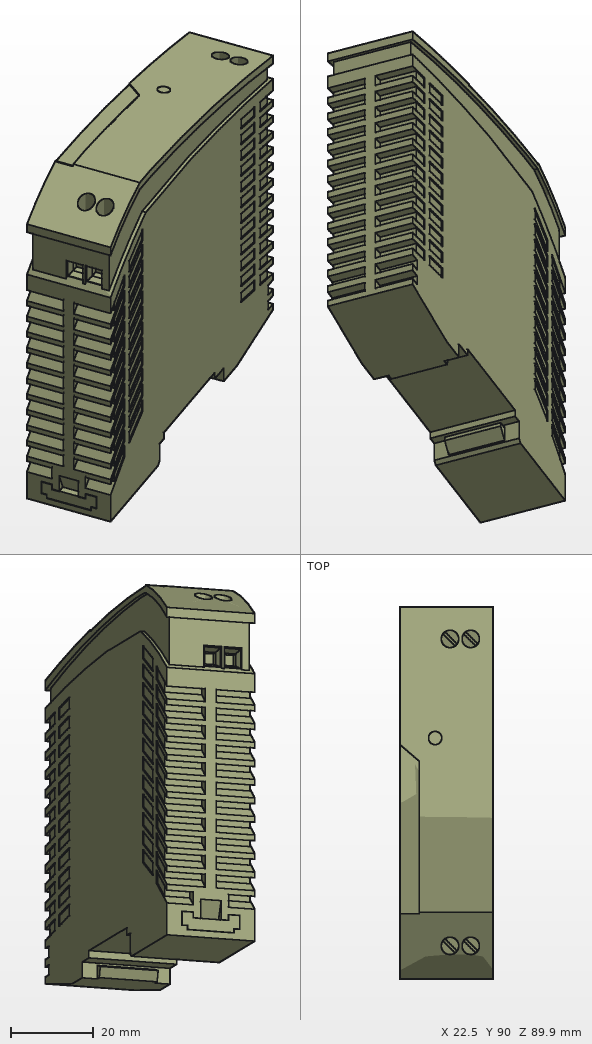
import cadquery as cq


width = 22.5
depth = 90.0
height = 89.87
front_y = -depth / 2
rear_y = depth / 2
overcut = 1.0

cap_edge_z = 80.95
cap_flat_rear_y = -22.7
cap_flat_front_y = -28.8
cap_rear_mid = (11.15, 86.87)
cap_front_mid = (-36.7, 86.3)
cap_thickness = 2.0
cap_lip_height = 2.4

neck_side_inset = 1.0
neck_end_inset = 1.2
neck_overlap = 0.3

shell_rear_z = 74.1
shell_front_z = 66.1
shell_flat_z = 79.0
shell_flat_rear_y = -0.2
shell_flat_front_y = -25.5
shell_rear_mid = (22.4, 77.2)
shell_front_mid = (-35.5, 73.2)

rear_bottom_z = 6.0
rear_foot_z = 2.0
rear_foot_y = 25.0
rail_rear_y = 17.65
rail_front_y = -17.75
rail_step_z = 5.9
rail_top_z = 7.7
rail_top_rear_y = 12.6
rail_top_front_y = -15.4
front_foot_chamfer = 0.9

rear_hook_tip = (15.3, 4.6)
rear_hook_foot_y = 16.1
hook_root_top_z = 5.35
front_hook_tip_z = 4.1
front_hook_top_z = 5.1
front_hook_root_z = 1.4
clip_width = 14.8
clip_shoulder_width = 9.0
clip_toe_width = 11.9
clip_top_z = 6.1
clip_shoulder_z = 4.7
clip_base_z = 2.7
clip_toe_z = 1.7
clip_recess = 0.2
pry_width = 5.2
pry_top_z = 9.4
pry_depth = 2.1

vent_rows = 12
front_pitch = 4.585
rear_pitch = 4.65
front_vent_height = 3.15
rear_vent_height = 2.8
side_vent_depth = 0.3
end_vent_depth = 2.7
end_rib_width = 2.8
wide_rib_width = 9.0
rear_slope = 0.15
front_outer_slope = 0.83
front_inner_slope = 0.63
rear_outer_y = 37.8
front_outer_y = -37.25
rear_outer_z = 71.7
front_outer_z = 67.9
rear_face_top_z = rear_outer_z - rear_slope * (rear_y - rear_outer_y)
front_face_top_z = front_outer_z - front_outer_slope * (front_outer_y - front_y)
rear_inner_span = (27.3, 34.9)
front_inner_span = (-27.15, -34.6)
rear_inner_z = 73.27
front_inner_z = 75.07
low_vent_rows = 2
low_vent_floor_z = 7.7

screw_x = (12.1, 17.1)
screw_y = (-36.95, 37.25)
screw_radius = 2.1
screw_head_z = 76.0
screw_slot_width = 0.7
screw_slot_angle = -45
screw_slot_depth = 0.5
socket_x = (12.2, 17.35)
socket_z = 69.9
socket_top_z = 72.5
socket_bottom_z = 66.5
socket_mouth_depth = 0.7
socket_mouth_width = 4.5
socket_funnel = (4.3, 4.8)
socket_throat = (2.8, 3.0)
socket_taper_depth = 1.5
socket_depth = 4.0

led_x = 8.5
led_y = 13.3
led_radius = 1.6
led_recess = 0.1
label_width = 4.65
label_rear_y = 11.7
label_corner_y = 7.7
label_front_y = -29.2
label_floor_rear_z = 86.5
label_floor_mid = (-8.75, 88.65)
label_floor_front_z = 89.45


def centered_box(size_x, size_y, size_z, x, y, z):
    """Box centred on the point (x, y, z)."""
    return cq.Workplane("XY").box(size_x, size_y, size_z).translate((x, y, z))


def extrude_side(profile, x_start, x_end):
    """Extrude a closed YZ profile between two X positions."""
    return profile.extrude(x_end - x_start).translate((x_start, 0, 0))


def polygon_side(points, x_start, x_end):
    """Extrude a YZ polygon between two X positions."""
    return extrude_side(cq.Workplane("YZ").polyline(points).close(), x_start, x_end)


def make_cap():
    def drop(point):
        return (point[0], point[1] - cap_thickness)

    lip_z = cap_edge_z - cap_lip_height
    crown_bottom_z = height - cap_thickness
    profile = (
        cq.Workplane("YZ")
        .moveTo(rear_y, cap_edge_z)
        .threePointArc(cap_rear_mid, (cap_flat_rear_y, height))
        .lineTo(cap_flat_front_y, height)
        .threePointArc(cap_front_mid, (front_y, cap_edge_z))
        .lineTo(front_y, lip_z)
        .threePointArc(drop(cap_front_mid), (cap_flat_front_y, crown_bottom_z))
        .lineTo(cap_flat_rear_y, crown_bottom_z)
        .threePointArc(drop(cap_rear_mid), (rear_y, lip_z))
        .close()
    )
    return extrude_side(profile, 0, width)


def make_neck():
    """Block from inside the shell up into the cap."""
    base_z = shell_front_z - overcut
    neck_front_y = front_y + neck_end_inset
    neck_rear_y = rear_y - neck_end_inset
    top_z = cap_edge_z - neck_overlap
    crown_z = height - neck_overlap
    points = [
        (neck_front_y, base_z),
        (neck_front_y, top_z),
        (cap_flat_front_y, crown_z),
        (cap_flat_rear_y, crown_z),
        (neck_rear_y, top_z),
        (neck_rear_y, base_z),
    ]
    return polygon_side(points, neck_side_inset, width - neck_side_inset)


def make_shell():
    profile = (
        cq.Workplane("YZ")
        .moveTo(rear_y, rear_bottom_z)
        .lineTo(rear_y, shell_rear_z)
        .threePointArc(shell_rear_mid, (shell_flat_rear_y, shell_flat_z))
        .lineTo(shell_flat_front_y, shell_flat_z)
        .threePointArc(shell_front_mid, (front_y, shell_front_z))
        .lineTo(front_y, 0)
        .lineTo(rail_front_y - front_foot_chamfer, 0)
        .lineTo(rail_front_y, front_foot_chamfer)
        .lineTo(rail_front_y, rail_step_z)
        .lineTo(rail_top_front_y, rail_step_z)
        .lineTo(rail_top_front_y, rail_top_z)
        .lineTo(rail_top_rear_y, rail_top_z)
        .lineTo(rail_top_rear_y, rail_step_z)
        .lineTo(rail_rear_y, rail_step_z)
        .lineTo(rail_rear_y, rear_foot_z)
        .lineTo(rear_foot_y, rear_foot_z)
        .close()
    )
    return extrude_side(profile, 0, width)


def make_hooks():
    """Fixed hook on the rear foot and the clip's nose on the front foot."""
    x_start = (width - clip_width) / 2
    x_end = (width + clip_width) / 2
    rear_hook = [
        (rail_rear_y + overcut, rear_foot_z),
        (rail_rear_y + overcut, hook_root_top_z),
        (rail_rear_y, hook_root_top_z),
        rear_hook_tip,
        (rear_hook_foot_y, rear_foot_z),
    ]
    front_hook = [
        (rail_front_y - overcut, front_hook_root_z),
        (rail_front_y, front_hook_root_z),
        (rail_top_front_y, front_hook_tip_z),
        (rail_top_front_y, front_hook_top_z),
        (rail_front_y, hook_root_top_z),
        (rail_front_y - overcut, hook_root_top_z),
    ]
    return polygon_side(rear_hook, x_start, x_end).union(polygon_side(front_hook, x_start, x_end))


def slanted_band(y_inner, y_outer, top_z, band_height, slope, x_start, x_end):
    """Sloped bar whose top is top_z at y_inner and falls toward y_outer."""
    outer_top_z = top_z - slope * abs(y_outer - y_inner)
    points = [
        (y_inner, top_z),
        (y_outer, outer_top_z),
        (y_outer, outer_top_z - band_height),
        (y_inner, top_z - band_height),
    ]
    return polygon_side(points, x_start, x_end)


def side_vents(y_inner, y_outer, top_z, band_height, slope):
    """Cutter for one shallow vent on each side face."""
    across = slanted_band(y_inner, y_outer, top_z, band_height, slope, -overcut, width + overcut)
    core = centered_box(
        width - 2 * side_vent_depth, depth * 2, height * 2, width / 2, 0, height / 2
    )
    return across.cut(core)


def end_vents(end_y, top_z, band_height, slope, rib_width):
    """Left and right notches in an end face; top_z is the vent top at that face."""
    direction = 1 if end_y > 0 else -1
    y_inner = end_y - direction * end_vent_depth
    y_outer = end_y + direction * overcut
    inner_top_z = top_z + slope * end_vent_depth
    left_end = (width - rib_width) / 2
    right_start = (width + rib_width) / 2
    left = slanted_band(y_inner, y_outer, inner_top_z, band_height, slope, -overcut, left_end)
    right = slanted_band(
        y_inner, y_outer, inner_top_z, band_height, slope, right_start, width + overcut
    )
    return left.union(right)


def regular_vents():
    """Cutters for the matching vent rows on the sides, front and rear."""
    cutters = []
    for row in range(vent_rows):
        front_drop = row * front_pitch
        rear_drop = row * rear_pitch
        rib_width = wide_rib_width if row == vent_rows - 1 else end_rib_width
        cutters += [
            side_vents(front_outer_y, front_y - overcut, front_outer_z - front_drop,
                       front_vent_height, front_outer_slope),
            side_vents(*front_inner_span, front_inner_z - front_drop,
                       front_vent_height, front_inner_slope),
            end_vents(front_y, front_face_top_z - front_drop,
                      front_vent_height, front_outer_slope, rib_width),
            side_vents(rear_outer_y, rear_y + overcut, rear_outer_z - rear_drop,
                       rear_vent_height, rear_slope),
            side_vents(*rear_inner_span, rear_inner_z - rear_drop,
                       rear_vent_height, rear_slope),
            end_vents(rear_y, rear_face_top_z - rear_drop,
                      rear_vent_height, rear_slope, end_rib_width),
        ]
    return cutters


def low_rear_vents():
    """Level notches under the regular rear rows; the lowest one has a raised floor."""
    cutters = []
    for row in range(vent_rows, vent_rows + low_vent_rows):
        top_z = rear_face_top_z - row * rear_pitch
        vent_height = min(rear_vent_height, top_z - low_vent_floor_z)
        cutters.append(end_vents(rear_y, top_z, vent_height, 0, end_rib_width))
    return cutters


def cut_vents(body):
    """Remove all vents in a single boolean operation."""
    solids = []
    for cutter in regular_vents() + low_rear_vents():
        solids += cutter.solids().vals()
    return cq.Workplane("XY").newObject([body.val().cut(*solids)])


def cut_clip_face(body):
    """Slightly sunk clip face and the wedge-shaped pocket above it."""
    half_width = clip_width / 2
    half_shoulder = clip_shoulder_width / 2
    half_toe = clip_toe_width / 2
    half_outline = [
        (half_toe, clip_toe_z),
        (half_toe, clip_base_z),
        (half_width, clip_base_z),
        (half_width, clip_top_z),
        (half_shoulder, clip_top_z),
        (half_shoulder, clip_shoulder_z),
    ]
    mirrored = [(-x, z) for x, z in reversed(half_outline)]
    face = (
        cq.Workplane("XZ", origin=(width / 2, front_y + clip_recess, 0))
        .polyline(half_outline + mirrored)
        .close()
        .extrude(clip_recess + overcut)
    )
    pocket = [
        (front_y - overcut, pry_top_z),
        (front_y, pry_top_z),
        (front_y + pry_depth, clip_shoulder_z),
        (front_y - overcut, clip_shoulder_z),
    ]
    pocket_start = (width - pry_width) / 2
    return body.cut(face).cut(polygon_side(pocket, pocket_start, pocket_start + pry_width))


def cut_terminal_screws(body):
    """Access holes in the cap with a slotted screw head at the bottom."""
    hole_length = height - screw_head_z + overcut
    for x in screw_x:
        for y in screw_y:
            hole = (
                cq.Workplane("XY", origin=(x, y, screw_head_z))
                .circle(screw_radius)
                .extrude(hole_length)
            )
            slot = (
                cq.Workplane("XY", origin=(x, y, screw_head_z - screw_slot_depth))
                .transformed(rotate=(0, 0, screw_slot_angle))
                .rect(2 * screw_radius, screw_slot_width)
                .extrude(screw_slot_depth)
            )
            slot = slot.intersect(hole.translate((0, 0, -screw_slot_depth)))
            body = body.cut(hole).cut(slot)
    return body


def cut_socket_mouths(neck):
    """Straight entries in the front of the neck, cut before the shell is joined."""
    mouth_front_y = front_y + neck_end_inset
    mouth_rear_y = mouth_front_y + socket_mouth_depth
    profile = [
        (mouth_front_y, socket_bottom_z),
        (mouth_front_y, socket_top_z),
        (mouth_rear_y, socket_top_z),
        (mouth_rear_y, socket_bottom_z),
    ]
    half_mouth = socket_mouth_width / 2
    for x in socket_x:
        neck = neck.cut(polygon_side(profile, x - half_mouth, x + half_mouth))
    return neck


def cut_socket_throats(body):
    """Tapered funnels behind the mouths, each leading to a straight throat."""
    throat_y = front_y + neck_end_inset + socket_mouth_depth + socket_taper_depth
    throat_length = socket_depth - socket_mouth_depth - socket_taper_depth
    for x in socket_x:
        throat_plane = cq.Workplane("XZ", origin=(x, throat_y, socket_z))
        funnel = (
            throat_plane.rect(*socket_throat)
            .workplane(offset=socket_taper_depth)
            .rect(*socket_funnel)
            .loft()
        )
        throat = throat_plane.rect(*socket_throat).extrude(-throat_length)
        body = body.cut(funnel).cut(throat)
    return body


def cut_label_recess(body):
    """Shallow label strip along the left edge of the cap."""
    floor = (
        cq.Workplane("YZ")
        .moveTo(label_rear_y, label_floor_rear_z)
        .threePointArc(label_floor_mid, (label_front_y, label_floor_front_z))
        .lineTo(label_front_y, height + overcut)
        .lineTo(label_rear_y, height + overcut)
        .close()
    )
    outline = [
        (0, label_rear_y),
        (label_width, label_corner_y),
        (label_width, label_front_y),
        (0, label_front_y),
    ]
    plan = cq.Workplane("XY").polyline(outline).close().extrude(height + overcut)
    return body.cut(extrude_side(floor, 0, label_width).intersect(plan))


def cut_led_window(body):
    """Round window whose floor follows the cap curve."""
    column = cq.Workplane("XY", origin=(led_x, led_y, 0)).circle(led_radius).extrude(height + overcut)
    below_surface = make_cap().translate((0, 0, -led_recess))
    window = make_cap().intersect(column).cut(below_surface)
    return body.cut(window)


neck = cut_socket_mouths(make_neck())
body = make_shell().union(neck).union(make_cap()).union(make_hooks())
body = cut_vents(body)
body = cut_clip_face(body)
body = cut_terminal_screws(body)
body = cut_socket_throats(body)
body = cut_label_recess(body)
body = cut_led_window(body)
result = body.solids()